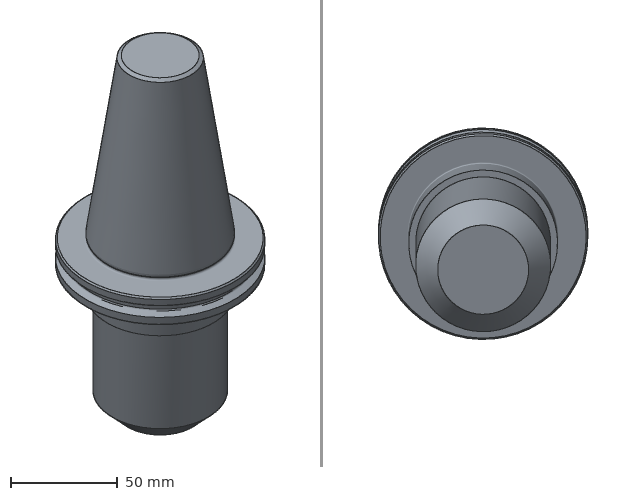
import cadquery as cq
import math

total_height = 203.2
gauge_height = 101.5
flange_top = 98.3
flange_thickness = 15.8
collar_bottom = 66.6

gauge_diameter = 70.0
taper_ratio = 7 / 24
tip_chamfer_width = 2.0
tip_chamfer_height = 1.2

relief_depth = 0.5
relief_top = 100.4
relief_shoulder_height = 0.6
relief_fillet = 1.0

flange_diameter = 98.3
flange_chamfer = 0.8
groove_diameter = 91.2
groove_middle = 90.6
groove_mouth_width = 6.7
groove_floor_width = 3.3
groove_fillet = 0.8

body_diameter = 63.5
nose_diameter = 42.7
nose_height = 11.0
collar_fillet = 0.6

gauge_radius = gauge_diameter / 2
flange_radius = flange_diameter / 2
flange_bottom = flange_top - flange_thickness


def revolve_profile(points):
    """Revolve a closed (radius, height) outline about the Z axis."""
    return cq.Workplane("XZ").polyline(points).close().revolve(360, (0, 0, 0), (0, 1, 0))


def make_taper():
    edge_height = total_height - tip_chamfer_height
    edge_radius = gauge_radius - (edge_height - gauge_height) * taper_ratio / 2
    relief_radius = gauge_radius - relief_depth
    return revolve_profile([
        (0, flange_top),
        (relief_radius, flange_top),
        (relief_radius, relief_top - relief_shoulder_height),
        (gauge_radius, relief_top),
        (gauge_radius, gauge_height),
        (edge_radius, edge_height),
        (edge_radius - tip_chamfer_width, total_height),
        (0, total_height),
    ])


def make_root_fillet(radius, height, size, direction):
    """Concave ring between a cylinder and a flange face; direction is +1 above the face, -1 below."""
    bulge = size * (1 - math.sqrt(0.5))
    return (
        cq.Workplane("XZ")
        .moveTo(radius - size, height)
        .lineTo(radius + size, height)
        .threePointArc((radius + bulge, height + direction * bulge), (radius, height + direction * size))
        .lineTo(radius - size, height + direction * size)
        .close()
        .revolve(360, (0, 0, 0), (0, 1, 0))
    )


def make_flange():
    disc = (
        cq.Workplane("XY").workplane(offset=flange_bottom)
        .circle(flange_radius).extrude(flange_thickness)
        .faces("<Z or >Z").edges().chamfer(flange_chamfer)
    )
    groove_radius = groove_diameter / 2
    half_mouth = groove_mouth_width / 2
    half_floor = groove_floor_width / 2
    groove = revolve_profile([
        (groove_radius, groove_middle - half_floor),
        (flange_radius, groove_middle - half_mouth),
        (flange_radius, groove_middle + half_mouth),
        (groove_radius, groove_middle + half_floor),
    ])
    floor_corners = cq.selectors.RadiusNthSelector(0)
    groove = groove.edges(floor_corners).fillet(groove_fillet)
    return disc.cut(groove)


def make_body():
    body_radius = body_diameter / 2
    return revolve_profile([
        (0, 0),
        (nose_diameter / 2, 0),
        (body_radius, nose_height),
        (body_radius, collar_bottom),
        (gauge_radius, collar_bottom),
        (gauge_radius, flange_bottom),
        (0, flange_bottom),
    ])


relief_root = make_root_fillet(gauge_radius - relief_depth, flange_top, relief_fillet, 1)
collar_root = make_root_fillet(gauge_radius, flange_bottom, collar_fillet, -1)

result = (
    make_taper()
    .union(make_flange())
    .union(make_body())
    .union(relief_root)
    .union(collar_root)
)